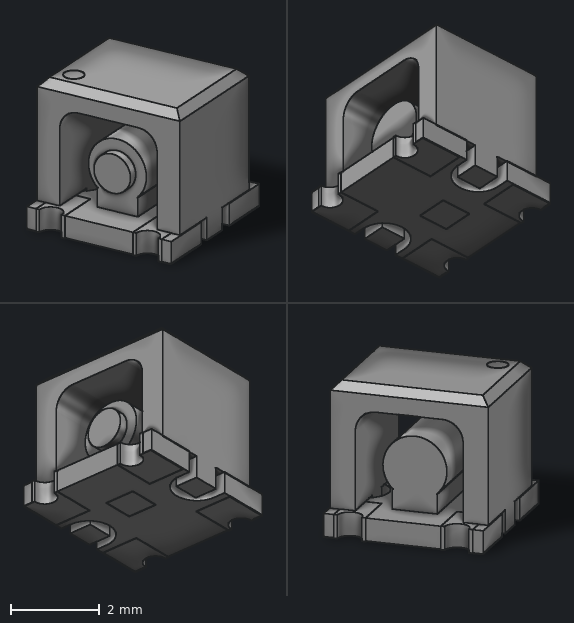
import cadquery as cq
board_side = 3.81
board_bottom = 0.01
board_top = 0.56

terminal_x = 1.275
terminal_width = 0.76
terminal_length = 1.11
terminal_outer_y = 1.915
terminal_top = 0.563
notch_diameter = 0.582
notch_centre_y = board_side / 2
bottom_pad_outer_x = 1.89
terminal_inner_x = terminal_x - terminal_width / 2

centre_pad_side = 0.785
centre_pad_y = -(terminal_outer_y - terminal_length) + centre_pad_side / 2

cover_width = 3.77
cover_length = 3.0
cover_top = 3.56
cover_chamfer = 0.203
tunnel_width = 2.565
tunnel_top = 2.953
tunnel_radius = 0.498
tongue_width = 0.665

slot_width = 1.215
slot_straight = 0.3

mark_diameter = 0.485
mark_x = -1.283
mark_y = -0.89
mark_depth = 0.008

lens_axis_z = 1.585
barrel_diameter = 1.525
lens_diameter = 0.96
lens_protrusion = 0.225
holder_width = 1.072
holder_length = 2.215
holder_top = 1.03
holder_front_y = -holder_length / 2


def box(x_min, x_max, y_min, y_max, z_min, z_max):
    """Axis-aligned block given by its limits."""
    size = (x_max - x_min, y_max - y_min, z_max - z_min)
    return cq.Workplane("XY").box(*size, centered=False).translate((x_min, y_min, z_min))


def centred_box(width, length, z_min, z_max):
    """Block centred on the Z axis."""
    return box(-width / 2, width / 2, -length / 2, length / 2, z_min, z_max)


def on_four_corners(shape):
    """The shape at +X +Y together with its mirror images at the other corners."""
    pair = shape.union(shape.mirror("YZ"))
    return pair.union(pair.mirror("XZ"))


def make_board():
    board = centred_box(board_side, board_side, board_bottom, board_top)
    for side in (-1, 1):
        slot = (
            cq.Workplane("XY")
            .center(side * board_side / 2, 0)
            .slot2D(2 * slot_straight + slot_width, slot_width)
            .extrude(board_top)
        )
        board = board.cut(slot)
    return board


def make_terminals():
    inner_y = terminal_outer_y - terminal_length
    strip = box(
        terminal_inner_x, terminal_inner_x + terminal_width,
        inner_y, terminal_outer_y, 0, terminal_top,
    )
    pad = box(terminal_inner_x, bottom_pad_outer_x, inner_y, terminal_outer_y, 0, board_bottom)
    return on_four_corners(strip.union(pad))


def make_notches():
    notch = (
        cq.Workplane("XY")
        .center(terminal_x, notch_centre_y)
        .circle(notch_diameter / 2)
        .extrude(terminal_top)
    )
    return on_four_corners(notch)


def make_centre_pad():
    return (
        cq.Workplane("XY")
        .center(0, centre_pad_y)
        .rect(centre_pad_side, centre_pad_side)
        .extrude(board_bottom)
    )


def make_cover():
    cover = centred_box(cover_width, cover_length, board_top, cover_top)
    cover = cover.faces(">Z").edges().chamfer(cover_chamfer)
    tunnel = centred_box(tunnel_width, cover_length, -tunnel_top, tunnel_top)
    tunnel = tunnel.edges("|Y and >Z").fillet(tunnel_radius)
    tongues = centred_box(cover_width, tongue_width, 0, board_top)
    mark = (
        cq.Workplane("XY", origin=(mark_x, mark_y, cover_top))
        .circle(mark_diameter / 2)
        .extrude(-mark_depth)
    )
    return cover.union(tongues).cut(tunnel).cut(mark)


def make_lens():
    holder = centred_box(holder_width, holder_length, board_top, holder_top)
    front = cq.Workplane("XZ", origin=(0, holder_front_y, lens_axis_z))
    barrel = front.circle(barrel_diameter / 2).extrude(-holder_length)
    lens = front.circle(lens_diameter / 2).extrude(lens_protrusion)
    return holder.union(barrel).union(lens)


result = (
    make_board()
    .union(make_terminals())
    .cut(make_notches())
    .union(make_centre_pad())
    .union(make_cover())
    .union(make_lens())
)